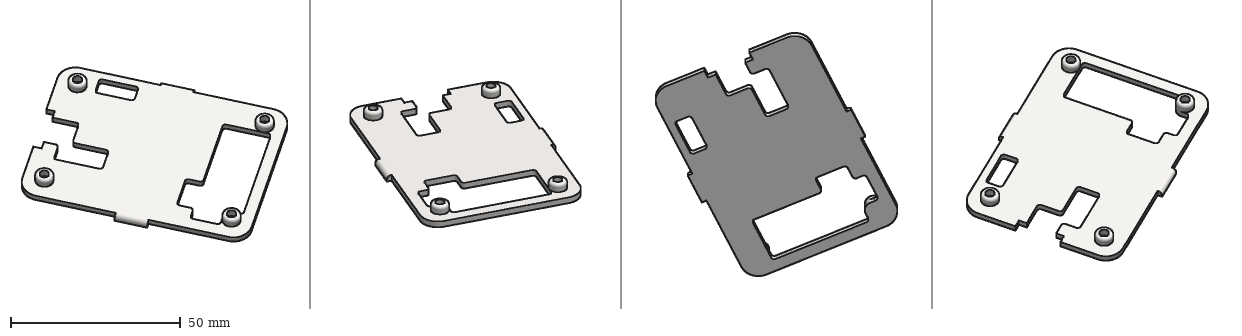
import cadquery as cq

length = 70.0
overall_width = 53.0
width = 50.05
thickness = 2.0
corner_radius = 5.5
cutout_radius = 1.0

overall_height = 4.7
pin_diameter = 5.5
pin_radius = pin_diameter / 2
pin_hole_diameter = 2.7
pin_edge_radius = 1.0
pin_x = 28.55
pin_y = 18.5
pin_height = overall_height - thickness

tab_length = 10.0
tab_reach = (overall_width - width) / 2

window_length = 12.0
window_width = 5.3
window_x = -16.95
window_y = 19.9

left_edge = -length / 2
mouth_x = -32.5
mouth_top, mouth_bottom = 7.3, -7.3
upper_step_x = -24.3
upper_step_y = 4.75
pocket_left, pocket_right = -28.0, -13.15
pocket_top, pocket_bottom = -2.8, -10.2
lower_step_y = -4.75

opening_left = 16.65
opening_right = pin_x + pin_radius
opening_top = pin_y - pin_radius
opening_bottom = -21.2
bay_left = 11.5
bay_top, bay_bottom = -7.15, -17.35
ledge_x = pin_x - pin_radius
ledge_y = -pin_y + pin_radius


def prism(points):
    """Extrude a closed outline through the plate thickness."""
    return cq.Workplane("XY").polyline(points).close().extrude(thickness)


def round_corners(body, corners, radius):
    """Round the vertical edges standing at the given corners."""
    for x, y in corners:
        nearest = cq.selectors.NearestToPointSelector((x, y, thickness / 2))
        body = body.edges("|Z").edges(nearest).fillet(radius)
    return body


def left_notch():
    mouth = [
        (mouth_x, lower_step_y),
        (mouth_x, mouth_bottom),
        (left_edge, mouth_bottom),
        (left_edge, mouth_top),
        (mouth_x, mouth_top),
        (mouth_x, upper_step_y),
    ]
    rounded = [
        (upper_step_x, upper_step_y),
        (upper_step_x, pocket_top),
        (pocket_right, pocket_top),
        (pocket_right, pocket_bottom),
        (pocket_left, pocket_bottom),
        (pocket_left, lower_step_y),
    ]
    return round_corners(prism(mouth + rounded), rounded, cutout_radius)


def right_opening():
    pin_corner = (ledge_x, ledge_y)
    rounded = [
        (opening_right, ledge_y),
        (opening_right, opening_top),
        (opening_left, opening_top),
        (opening_left, bay_top),
        (bay_left, bay_top),
        (bay_left, bay_bottom),
        (opening_left, bay_bottom),
        (opening_left, opening_bottom),
        (ledge_x, opening_bottom),
    ]
    body = round_corners(prism(rounded + [pin_corner]), rounded, cutout_radius)
    pin_wall = cq.Workplane("XY").center(pin_x, -pin_y).circle(pin_radius).extrude(thickness)
    pin_block = (
        cq.Workplane("XY")
        .center(pin_x - pin_radius / 2, -pin_y + pin_radius / 2)
        .rect(pin_radius, pin_radius)
        .extrude(thickness)
    )
    return body.union(pin_block.cut(pin_wall))


def window():
    return (
        cq.Workplane("XY")
        .center(window_x, window_y)
        .rect(window_length, window_width)
        .extrude(thickness)
        .edges("|Z")
        .fillet(cutout_radius)
    )


def tab_bar():
    """Bar across the plate whose two ends form the rounded tabs."""
    return (
        cq.Workplane("XY")
        .rect(tab_length, overall_width)
        .extrude(thickness)
        .edges(">Z and |X")
        .fillet(tab_reach)
    )


def pins():
    centers = [(x, y) for x in (-pin_x, pin_x) for y in (-pin_y, pin_y)]
    return (
        cq.Workplane("XY")
        .workplane(offset=thickness)
        .pushPoints(centers)
        .circle(pin_radius)
        .extrude(pin_height)
        .faces(">Z")
        .edges()
        .fillet(pin_edge_radius)
        .cut(
            cq.Workplane("XY")
            .workplane(offset=thickness)
            .pushPoints(centers)
            .circle(pin_hole_diameter / 2)
            .extrude(pin_height)
        )
    )


plate = cq.Workplane("XY").rect(length, width).extrude(thickness).edges("|Z").fillet(corner_radius)
plate = plate.union(tab_bar())
plate = plate.cut(left_notch()).cut(right_opening()).cut(window())
result = plate.union(pins())